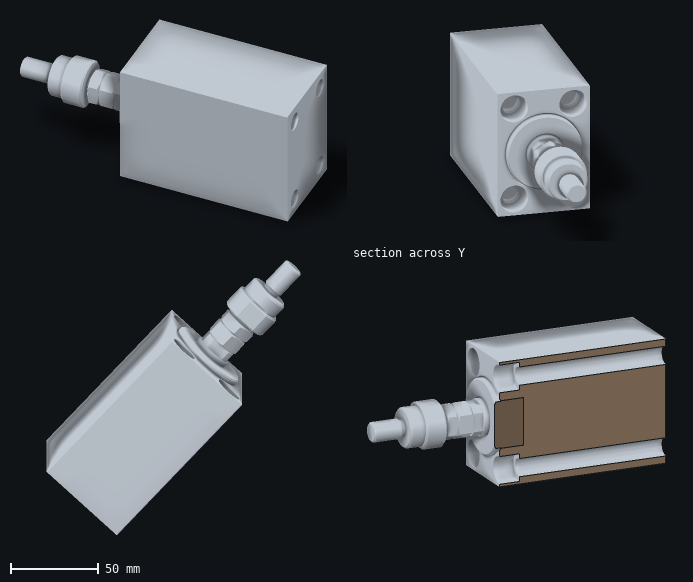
import cadquery as cq
import math


BLOCK_LENGTH = 105.0
BLOCK_WIDTH = 55.0
BLOCK_HEIGHT = 75.0
BLOCK_EDGE_CHAMFER = 0.4
BOLT_SPACING_Y = 34.9
BOLT_SPACING_Z = 55.0
BOLT_HOLE_DIAMETER = 10.7
COUNTERBORE_DIAMETER = 16.4
COUNTERBORE_DEPTH = 12.5

GLAND_DIAMETER = 44.9
GLAND_PROJECTION = 3.2
GLAND_DEPTH = 15.0
GLAND_CHAMFER = 0.9
GLAND_MOUTH_CHAMFER = 0.9

ROD_DIAMETER = 22.0
ROD_CHAMFER = 0.5
ROD_SHOULDER_X = -6.2
ROD_HEAD_DIAMETER = 21.0
ROD_FLATS_WIDTH = 17.8
ROD_FACE_X = -12.3

HEX_SIDES = 6
HALF_SECTOR_ANGLE = 180 / HEX_SIDES
HEX_ACROSS_FLATS = 19.0
HEX_CHAMFER_ANGLE = 30
HEX_FACE_DIAMETER = 18.2
NUT_LENGTH = 9.6

THREAD_DIAMETER = 12.0
THREAD_CHAMFER = 0.9
TIP_X = -73.0
STUD_LENGTH = 16.9
RELIEF_DIAMETER = 10.0
RELIEF_TAPER = 1.0
DISC_X = -53.0
DISC_DIAMETER = 24.0
DISC_CHAMFER = 1.0
HEAD_X = -44.0
HEAD_LENGTH = 13.0
HEAD_DIAMETER = 28.1
HEAD_CHAMFER = 0.9
HEAD_FLAT_HEIGHT = 12.6
NOTCH_LENGTH = 1.2
NOTCH_HEIGHT = 10.7
NECK_DIAMETER = 11.0
NECK_TAPER = 1.0
COUPLING_HEX_X = -29.0
THREAD_ENGAGEMENT = 10.0

NUT_X = ROD_FACE_X - NUT_LENGTH
COUPLING_HEX_LENGTH = NUT_X - COUPLING_HEX_X
THREAD_END_X = ROD_FACE_X + THREAD_ENGAGEMENT


def cylinder(x_start, length, diameter):
    """Solid cylinder along X."""
    return cq.Workplane("YZ", origin=(x_start, 0, 0)).circle(diameter / 2).extrude(length)


def cone(x_start, length, start_diameter, end_diameter):
    """Solid truncated cone along X."""
    profile = [
        (x_start, 0),
        (x_start, start_diameter / 2),
        (x_start + length, end_diameter / 2),
        (x_start + length, 0),
    ]
    return cq.Workplane("XY").polyline(profile).close().revolve(360, (0, 0, 0), (1, 0, 0))


def chamfered_hexagon(x_start, length):
    """Hexagonal prism along X with flats facing +-Y and its corners turned off at both ends."""
    corner_diameter = HEX_ACROSS_FLATS / math.cos(math.radians(HALF_SECTOR_ANGLE))
    prism = (
        cq.Workplane("YZ", origin=(x_start, 0, 0))
        .transformed(rotate=(0, 0, HALF_SECTOR_ANGLE))
        .polygon(HEX_SIDES, corner_diameter)
        .extrude(length)
    )
    drop = (corner_diameter - HEX_FACE_DIAMETER) / 2
    chamfer_length = drop * math.tan(math.radians(HEX_CHAMFER_ANGLE))
    envelope = (
        cylinder(x_start, length, corner_diameter)
        .faces("<X or >X")
        .chamfer(chamfer_length, drop)
    )
    return prism.intersect(envelope)


def make_block():
    """Block with four counterbored bolt holes and a recess for the gland."""
    block = cq.Workplane("XY").box(
        BLOCK_LENGTH, BLOCK_WIDTH, BLOCK_HEIGHT, centered=(False, True, True)
    )
    block = block.edges("|X").chamfer(BLOCK_EDGE_CHAMFER)
    block = (
        block.faces("<X")
        .workplane(origin=(0, 0, 0))
        .rarray(BOLT_SPACING_Y, BOLT_SPACING_Z, 2, 2)
        .cboreHole(BOLT_HOLE_DIAMETER, COUNTERBORE_DIAMETER, COUNTERBORE_DEPTH)
    )
    block = block.cut(cylinder(0, GLAND_DEPTH, GLAND_DIAMETER))
    mouth_diameter = GLAND_DIAMETER + 2 * GLAND_CHAMFER
    return block.cut(cone(0, GLAND_CHAMFER, mouth_diameter, GLAND_DIAMETER))


def make_gland():
    """Round gland that guides the rod and stands proud of the block."""
    gland_length = GLAND_PROJECTION + GLAND_DEPTH
    gland = cylinder(-GLAND_PROJECTION, gland_length, GLAND_DIAMETER)
    gland = gland.faces("<X").chamfer(GLAND_CHAMFER)
    gland = gland.cut(cylinder(-GLAND_PROJECTION, gland_length, ROD_DIAMETER))
    mouth_diameter = ROD_DIAMETER + 2 * GLAND_MOUTH_CHAMFER
    return gland.cut(cone(-GLAND_PROJECTION, GLAND_MOUTH_CHAMFER, mouth_diameter, ROD_DIAMETER))


def make_rod():
    """Piston rod with a square-flatted head and a threaded socket for the coupling."""
    rod = cylinder(ROD_SHOULDER_X, GLAND_DEPTH - ROD_SHOULDER_X, ROD_DIAMETER)
    rod = rod.faces("<X").chamfer(ROD_CHAMFER)
    head_length = ROD_SHOULDER_X - ROD_FACE_X
    flats = (
        cq.Workplane("YZ", origin=(ROD_FACE_X, 0, 0))
        .rect(ROD_FLATS_WIDTH, ROD_FLATS_WIDTH)
        .extrude(head_length)
    )
    rod = rod.union(cylinder(ROD_FACE_X, head_length, ROD_HEAD_DIAMETER).intersect(flats))
    return rod.cut(cylinder(ROD_FACE_X, THREAD_ENGAGEMENT, THREAD_DIAMETER))


def make_lock_nut():
    """Hexagon nut that locks the coupling against the rod."""
    return chamfered_hexagon(NUT_X, NUT_LENGTH).cut(cylinder(NUT_X, NUT_LENGTH, THREAD_DIAMETER))


def make_coupling_stud():
    """Front thread and its relief."""
    stud = cylinder(TIP_X, STUD_LENGTH, THREAD_DIAMETER).faces("<X").chamfer(THREAD_CHAMFER)
    stud_end_x = TIP_X + STUD_LENGTH
    stud = stud.union(cone(stud_end_x, RELIEF_TAPER, THREAD_DIAMETER, RELIEF_DIAMETER))
    return stud.union(cylinder(stud_end_x, DISC_X - stud_end_x, RELIEF_DIAMETER))


def make_coupling_disc():
    """Disc behind the stud, with a small flat notch underneath next to the head."""
    disc = cylinder(DISC_X, HEAD_X - DISC_X, DISC_DIAMETER).faces("<X").chamfer(DISC_CHAMFER)
    notch = cq.Workplane("XY").box(
        NOTCH_LENGTH, DISC_DIAMETER, DISC_DIAMETER, centered=(False, True, False)
    )
    return disc.cut(notch.translate((HEAD_X - NOTCH_LENGTH, 0, -NOTCH_HEIGHT - DISC_DIAMETER)))


def make_coupling_head():
    """Large round head with one wrench flat underneath."""
    head = cylinder(HEAD_X, HEAD_LENGTH, HEAD_DIAMETER)
    below_flat = cq.Workplane("XY").box(
        HEAD_LENGTH, HEAD_DIAMETER, HEAD_DIAMETER, centered=(False, True, False)
    )
    head = head.cut(below_flat.translate((HEAD_X, 0, -HEAD_FLAT_HEIGHT - HEAD_DIAMETER)))
    return head.faces("<X or >X").chamfer(HEAD_CHAMFER)


def make_coupling_shank():
    """Neck flaring into the wrench hexagon, then the thread that enters the rod."""
    neck_x = HEAD_X + HEAD_LENGTH
    shank = cylinder(neck_x, COUPLING_HEX_X - neck_x, NECK_DIAMETER)
    shank = shank.union(
        cone(COUPLING_HEX_X - NECK_TAPER, NECK_TAPER, NECK_DIAMETER, NECK_DIAMETER + 2 * NECK_TAPER)
    )
    shank = shank.union(chamfered_hexagon(COUPLING_HEX_X, COUPLING_HEX_LENGTH))
    return shank.union(cylinder(NUT_X, THREAD_END_X - NUT_X, THREAD_DIAMETER))


def make_coupling():
    """Coupling: front stud, disc, head and rear shank in one piece."""
    coupling = make_coupling_stud().union(make_coupling_disc())
    return coupling.union(make_coupling_head()).union(make_coupling_shank())


block = make_block()
gland = make_gland()
rod = make_rod()
lock_nut = make_lock_nut()
coupling = make_coupling()

result = cq.Compound.makeCompound(
    [block.val(), gland.val(), rod.val(), lock_nut.val(), coupling.val()]
)